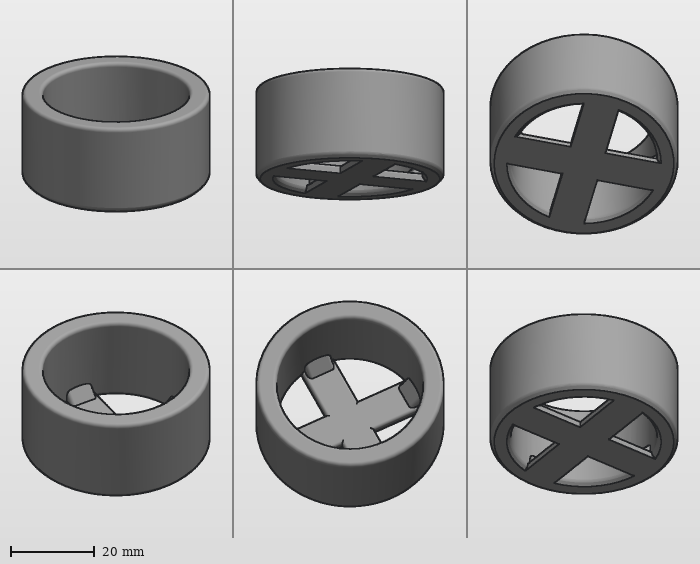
import cadquery as cq

outer_diameter = 45.0
bore_diameter = 35.0
height = 22.0
edge_size = 1.0
outer_radius = outer_diameter / 2
bore_radius = bore_diameter / 2

arm_width = 8.55
arm_thickness = 2.0
arm_round = 0.7

gusset_leg = 3.0
gusset_width = 7.0
gusset_round = 1.0
wall_overlap = 1.12


def make_ring():
    """Ring with rounded top edges and chamfered bottom edges, softened where they meet the walls."""
    ring = cq.Workplane("XY").circle(outer_radius).circle(bore_radius).extrude(height)
    ring = ring.faces(">Z").edges().fillet(edge_size)
    ring = ring.faces("<Z").edges().chamfer(edge_size)
    chamfer_tops = cq.selectors.BoxSelector(
        (-outer_diameter, -outer_diameter, edge_size / 2),
        (outer_diameter, outer_diameter, edge_size * 3 / 2),
        boundingbox=True,
    )
    return ring.edges(chamfer_tops).fillet(edge_size)


def make_cross():
    """Four-armed floor with rounded upper edges that mitre at the inner corners."""
    arm_length = 2 * (bore_radius + wall_overlap)
    arm_along_x = cq.Workplane("XY").rect(arm_length, arm_width).extrude(arm_thickness)
    arm_along_y = cq.Workplane("XY").rect(arm_width, arm_length).extrude(arm_thickness)
    return arm_along_x.union(arm_along_y).faces(">Z").edges().fillet(arm_round)


def make_gusset():
    """Wedge on the +X arm, with the two side edges of its slope rounded."""
    toe_x = bore_radius - gusset_leg
    back_x = bore_radius + wall_overlap
    back_top = arm_thickness + back_x - toe_x
    buried_toe_x = toe_x - arm_thickness / 2
    profile = [
        (buried_toe_x, arm_thickness / 2),
        (back_x, arm_thickness / 2),
        (back_x, back_top),
    ]
    wedge = cq.Workplane("XZ").polyline(profile).close().extrude(gusset_width / 2, both=True)
    slope_side_edges = wedge.edges(cq.selectors.ParallelDirSelector(cq.Vector(1, 0, 1)))
    return slope_side_edges.fillet(gusset_round)


result = make_ring().union(make_cross())
gusset = make_gusset()
for angle in (0, 90, 180, 270):
    result = result.union(gusset.rotate((0, 0, 0), (0, 0, 1), angle))